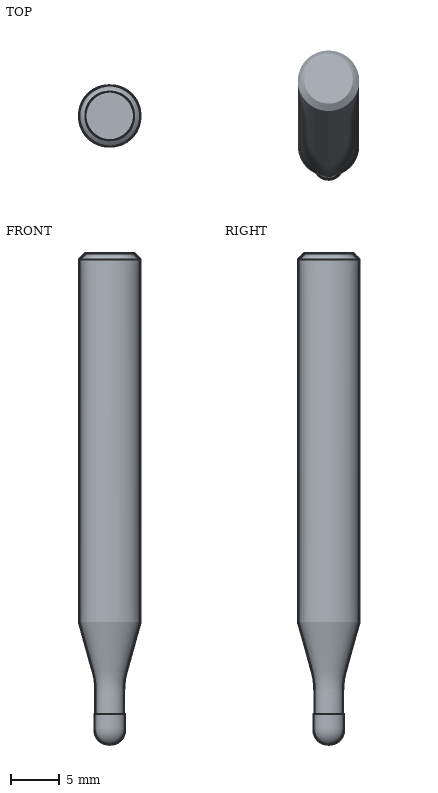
import cadquery as cq
import math

overall_length = 50.8
shank_radius = overall_length / 16
end_chamfer = 0.65

ball_radius = shank_radius / 2
head_length = 2 * ball_radius

neck_radius = 1.5
cone_top_z = 12.65
cone_half_angle = math.radians(15.6)
blend_radius = 6.6

corner_z = cone_top_z - (shank_radius - neck_radius) / math.tan(cone_half_angle)
tangent_length = blend_radius * math.tan(cone_half_angle / 2)
blend_bottom_z = corner_z - tangent_length
blend_top_z = corner_z + tangent_length * math.cos(cone_half_angle)
blend_top_radius = neck_radius + tangent_length * math.sin(cone_half_angle)


def revolve_about_z(profile):
    """Revolve a closed radius-height profile a full turn about the Z axis."""
    return profile.revolve(360, (0, 0, 0), (0, 1, 0))


def make_head():
    """Short cylinder with a hemispherical tip."""
    arc_middle = ball_radius * math.sqrt(0.5)
    profile = (
        cq.Workplane("XZ")
        .moveTo(0, 0)
        .threePointArc((arc_middle, ball_radius - arc_middle), (ball_radius, ball_radius))
        .lineTo(ball_radius, head_length)
        .lineTo(0, head_length)
        .close()
    )
    return revolve_about_z(profile)


def make_shank():
    """Neck, tangent blend, cone and chamfered shank, seated on the head."""
    profile = (
        cq.Workplane("XZ")
        .moveTo(0, head_length)
        .lineTo(neck_radius, head_length)
        .lineTo(neck_radius, blend_bottom_z)
        .tangentArcPoint((blend_top_radius, blend_top_z), relative=False)
        .lineTo(shank_radius, cone_top_z)
        .lineTo(shank_radius, overall_length - end_chamfer)
        .lineTo(shank_radius - end_chamfer, overall_length)
        .lineTo(0, overall_length)
        .close()
    )
    return revolve_about_z(profile)


head = make_head()
shank = make_shank()

result = cq.Compound.makeCompound([head.val(), shank.val()])